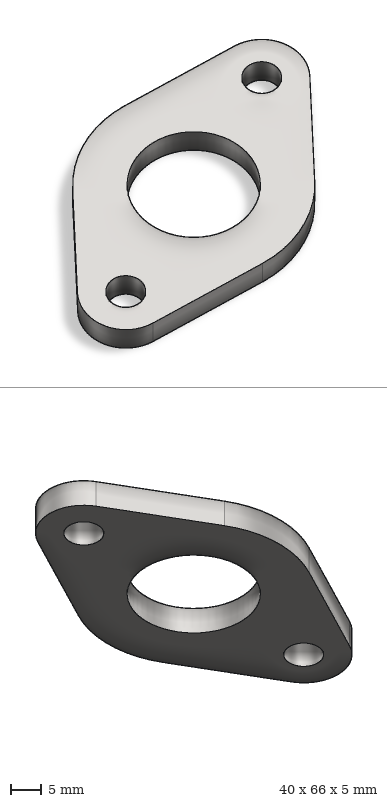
import cadquery as cq
import math

length = 65.95
width = 40.0
thickness = 5.0
bolt_spacing = 50.0
bolt_hole_diameter = 6.6
bore_diameter = 22.0

middle_radius = width / 2
bolt_offset = bolt_spacing / 2
end_radius = length / 2 - bolt_offset

normal_angle = math.asin((middle_radius - end_radius) / bolt_offset)
normal_x = math.cos(normal_angle)
normal_y = math.sin(normal_angle)

middle_x = middle_radius * normal_x
middle_y = middle_radius * normal_y
end_x = end_radius * normal_x
end_y = bolt_offset + end_radius * normal_y


def flange_plate():
    """Two-bolt flange blank, with its base on the XY plane."""
    return (
        cq.Workplane("XY")
        .moveTo(middle_x, -middle_y)
        .threePointArc((middle_radius, 0), (middle_x, middle_y))
        .lineTo(end_x, end_y)
        .threePointArc((0, length / 2), (-end_x, end_y))
        .lineTo(-middle_x, middle_y)
        .threePointArc((-middle_radius, 0), (-middle_x, -middle_y))
        .lineTo(-end_x, -end_y)
        .threePointArc((0, -length / 2), (end_x, -end_y))
        .close()
        .extrude(thickness)
    )


def through_holes():
    """Central bore and the two bolt holes as cutting cylinders."""
    bore = cq.Workplane("XY").circle(bore_diameter / 2).extrude(thickness)
    bolt_holes = (
        cq.Workplane("XY")
        .pushPoints([(0, bolt_offset), (0, -bolt_offset)])
        .circle(bolt_hole_diameter / 2)
        .extrude(thickness)
    )
    return bore.add(bolt_holes).combine()


result = flange_plate().cut(through_holes())